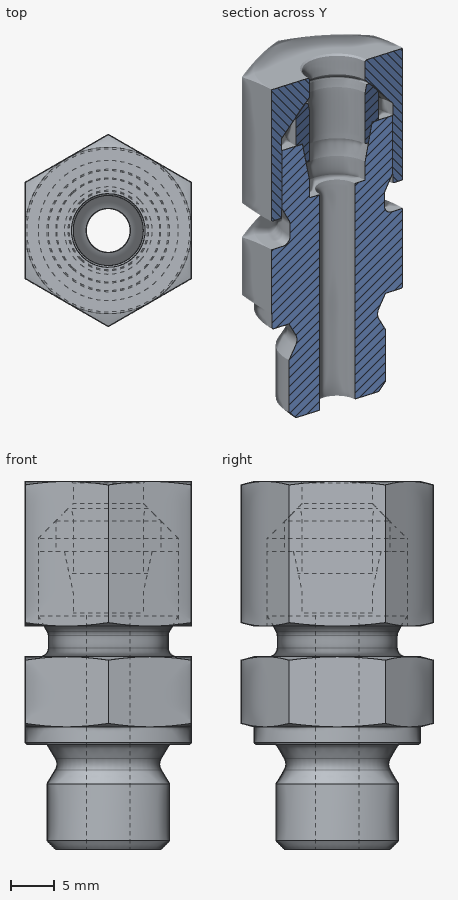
import cadquery as cq
import math


SIN_15 = math.sin(math.radians(15))
COS_15 = math.cos(math.radians(15))
SIN_30 = math.sin(math.radians(30))
COS_30 = math.cos(math.radians(30))
TAN_30 = math.tan(math.radians(30))

TUBE_RADIUS = 8 / 2
HEX_FLATS = 19
HEX_CHAMFER_ANGLE = 15
THREAD_RADIUS = 16 / 2

SHOULDER_Z = 12
FLANGE_TOP_Z = 14
BODY_HEX_TOP_Z = 22
NUT_BOTTOM_Z = 25.5
BODY_TOP_Z = 34
NUT_TOP_Z = 42

STUD_RADIUS = 14 / 2
STUD_TIP_RADIUS = 12 / 2
STUD_CHAMFER_HEIGHT = 1
STUD_TOP_Z = 7.5
WAIST_RADIUS = 5.87
WAIST_ARC_RADIUS = 1.3
FLANGE_RADIUS = HEX_FLATS / 2
FLANGE_CHAMFER = 0.2

RELIEF_RADIUS = 13.7 / 2
RELIEF_FILLET = 1
RELIEF_TOP_HEIGHT = 2.4

BORE_RADIUS = 5 / 2
SOCKET_DEPTH = 7
MOUTH_RADIUS = 10 / 2
MOUTH_HALF_ANGLE = 12

NUT_RIM_CHAMFER = 0.2
NUT_BORE_LENGTH = 2.5

RING_RADIUS = 12 / 2
RING_TOP_Z = NUT_TOP_Z - 3.1
RING_NOSE_LENGTH = 2.5
RING_FLARE_DEPTH = 1.0

MOUTH_SLOPE = math.tan(math.radians(MOUTH_HALF_ANGLE))


def hexagon(bottom_z, top_z):
    """Hexagon with corners on +Y and -Y, its ends turned down to the flats."""
    flat_radius = HEX_FLATS / 2
    corner_radius = flat_radius / COS_30
    drop = (corner_radius - flat_radius) * math.tan(math.radians(HEX_CHAMFER_ANGLE))
    prism = (
        cq.Workplane("XY", origin=(0, 0, bottom_z))
        .polygon(6, 2 * corner_radius)
        .extrude(top_z - bottom_z)
        .rotate((0, 0, 0), (0, 0, 1), 90)
    )
    envelope = (
        cq.Workplane("XZ")
        .moveTo(0, bottom_z)
        .lineTo(flat_radius, bottom_z)
        .lineTo(corner_radius, bottom_z + drop)
        .lineTo(corner_radius, top_z - drop)
        .lineTo(flat_radius, top_z)
        .lineTo(0, top_z)
        .close()
        .revolve(360, (0, 0), (0, 1))
    )
    return prism.intersect(envelope)


def turned(points):
    """Solid of revolution about Z from a closed outline of (radius, z) points."""
    return cq.Workplane("XZ").polyline(points).close().revolve(360, (0, 0), (0, 1))


def turned_body():
    """Outside of the body except its hexagon."""
    waist_z = (STUD_TOP_Z + SHOULDER_Z) / 2
    arc_half_height = WAIST_ARC_RADIUS * SIN_30
    arc_end_radius = WAIST_RADIUS + WAIST_ARC_RADIUS * (1 - COS_30)

    fillet_bottom_radius = RELIEF_RADIUS + RELIEF_FILLET
    relief_bottom_z = BODY_HEX_TOP_Z + RELIEF_FILLET
    fillet_mid = (
        fillet_bottom_radius - RELIEF_FILLET * math.sqrt(0.5),
        relief_bottom_z - RELIEF_FILLET * math.sqrt(0.5),
    )
    relief_top_z = BODY_HEX_TOP_Z + RELIEF_TOP_HEIGHT
    run_out_start = (
        RELIEF_RADIUS + RELIEF_FILLET * (1 - COS_30),
        relief_top_z + RELIEF_FILLET * SIN_30,
    )
    run_out_mid = (
        RELIEF_RADIUS + RELIEF_FILLET * (1 - COS_15),
        relief_top_z + RELIEF_FILLET * SIN_15,
    )
    run_out_end_z = run_out_start[1] + (THREAD_RADIUS - run_out_start[0]) / TAN_30

    return (
        cq.Workplane("XZ")
        .moveTo(0, 0)
        .lineTo(STUD_TIP_RADIUS, 0)
        .lineTo(STUD_RADIUS, STUD_CHAMFER_HEIGHT)
        .lineTo(STUD_RADIUS, STUD_TOP_Z)
        .lineTo(arc_end_radius, waist_z - arc_half_height)
        .threePointArc((WAIST_RADIUS, waist_z), (arc_end_radius, waist_z + arc_half_height))
        .lineTo(STUD_RADIUS, SHOULDER_Z)
        .lineTo(FLANGE_RADIUS - FLANGE_CHAMFER, SHOULDER_Z)
        .lineTo(FLANGE_RADIUS, SHOULDER_Z + FLANGE_CHAMFER)
        .lineTo(FLANGE_RADIUS, FLANGE_TOP_Z)
        .lineTo(fillet_bottom_radius, FLANGE_TOP_Z)
        .lineTo(fillet_bottom_radius, BODY_HEX_TOP_Z)
        .threePointArc(fillet_mid, (RELIEF_RADIUS, relief_bottom_z))
        .lineTo(RELIEF_RADIUS, relief_top_z)
        .threePointArc(run_out_mid, run_out_start)
        .lineTo(THREAD_RADIUS, run_out_end_z)
        .lineTo(THREAD_RADIUS, BODY_TOP_Z)
        .lineTo(0, BODY_TOP_Z)
        .close()
        .revolve(360, (0, 0), (0, 1))
    )


def body_passage():
    """Through bore, flat-bottomed tube socket and conical mouth."""
    socket_floor_z = BODY_TOP_Z - SOCKET_DEPTH
    mouth_bottom_z = BODY_TOP_Z - (MOUTH_RADIUS - TUBE_RADIUS) / MOUTH_SLOPE
    return turned([
        (0, 0),
        (BORE_RADIUS, 0),
        (BORE_RADIUS, socket_floor_z),
        (TUBE_RADIUS, socket_floor_z),
        (TUBE_RADIUS, mouth_bottom_z),
        (MOUTH_RADIUS, BODY_TOP_Z),
        (0, BODY_TOP_Z),
    ])


def make_body():
    outside = turned_body().union(hexagon(FLANGE_TOP_Z, BODY_HEX_TOP_Z))
    return outside.cut(body_passage())


def make_nut():
    """Hexagon nut, open below at the thread and above at the tube opening."""
    seat_top_z = NUT_TOP_Z - NUT_BORE_LENGTH
    seat_bottom_z = seat_top_z - (THREAD_RADIUS - TUBE_RADIUS)
    passage = turned([
        (0, NUT_BOTTOM_Z),
        (THREAD_RADIUS, NUT_BOTTOM_Z),
        (THREAD_RADIUS, seat_bottom_z),
        (TUBE_RADIUS, seat_top_z),
        (TUBE_RADIUS, NUT_TOP_Z - NUT_RIM_CHAMFER),
        (TUBE_RADIUS + NUT_RIM_CHAMFER, NUT_TOP_Z),
        (0, NUT_TOP_Z),
    ])
    return hexagon(NUT_BOTTOM_Z, NUT_TOP_Z).cut(passage)


def make_ring():
    """Ring held between the nut's 45 degree seat and the body's mouth."""
    shoulder_top_radius = TUBE_RADIUS + NUT_TOP_Z - NUT_BORE_LENGTH - RING_TOP_Z
    shoulder_bottom_z = RING_TOP_Z - (RING_RADIUS - shoulder_top_radius)
    nose_z = BODY_TOP_Z - RING_NOSE_LENGTH
    return turned([
        (TUBE_RADIUS, nose_z),
        (MOUTH_RADIUS - RING_NOSE_LENGTH * MOUTH_SLOPE, nose_z),
        (MOUTH_RADIUS, BODY_TOP_Z),
        (RING_RADIUS, BODY_TOP_Z),
        (RING_RADIUS, shoulder_bottom_z),
        (shoulder_top_radius, RING_TOP_Z),
        (TUBE_RADIUS + RING_FLARE_DEPTH * MOUTH_SLOPE, RING_TOP_Z),
        (TUBE_RADIUS, RING_TOP_Z - RING_FLARE_DEPTH),
    ])


body = make_body()
nut = make_nut()
ring = make_ring()

result = cq.Compound.makeCompound([
    body.solids().val(),
    nut.solids().val(),
    ring.solids().val(),
])